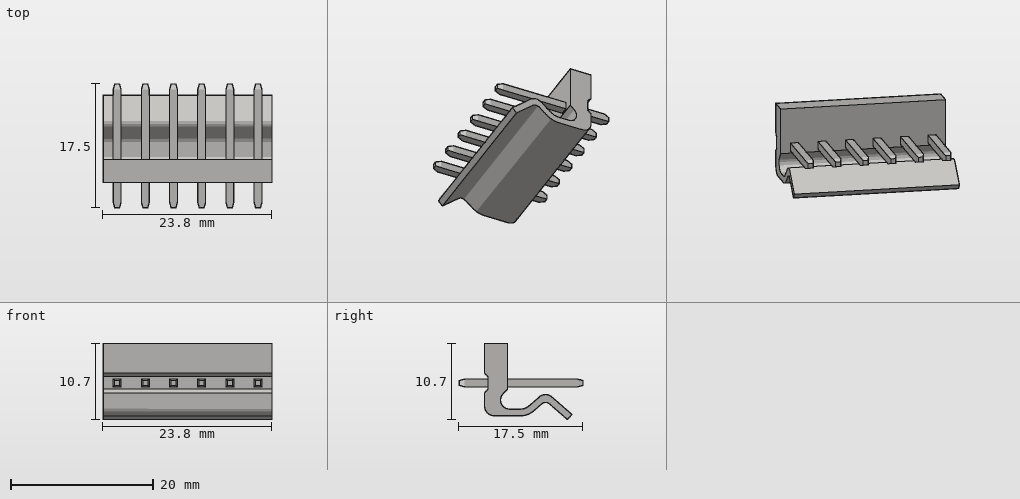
import cadquery as cq
import math

length = 23.75
pin_count = 6
pitch = length / pin_count

wall_depth = 3.25
wall_top = 10.22
heel_radius = 1.43

pin_height = 4.63
groove_depth = 0.5
groove_floor = 1.75
groove_mouth = groove_floor + 2 * groove_depth

strip_thickness = 0.97
throat_radius = 1.25
throat_centre_y = 3.55
bend_angle = 41.0
valley_centre_y = 5.05
valley_radius = 1.88
crest_radius = 1.28
crest_inner_radius = 0.8
crest_centre_y = 8.6
arm_length = 3.8

pin_width = 1.15
pin_end_width = 0.7
pin_taper_length = 0.8
pin_front = -3.56
pin_length = 17.45

bend_sin = math.sin(math.radians(bend_angle))
bend_cos = math.cos(math.radians(bend_angle))


def on_circle(centre, radius, angle):
    """Point on a circle in the YZ plane, with the angle in degrees from +Y towards +Z."""
    turn = math.radians(angle)
    return (centre[0] + radius * math.cos(turn), centre[1] + radius * math.sin(turn))


def make_profile():
    """Wall and spring strip as one closed YZ outline, extruded along X."""
    throat_centre = (throat_centre_y, strip_thickness + throat_radius)
    valley_centre = (valley_centre_y, strip_thickness + valley_radius)
    valley_outer_radius = valley_radius + strip_thickness

    bend_radii = valley_radius + crest_radius
    ramp_length = (crest_centre_y - valley_centre_y - bend_radii * bend_sin) / bend_cos
    crest_centre_z = valley_centre[1] - bend_radii * bend_cos + ramp_length * bend_sin
    crest_centre = (crest_centre_y, crest_centre_z)

    extra_radius = crest_inner_radius - (crest_radius - strip_thickness)
    crest_inner_centre = (crest_centre_y, crest_centre_z - extra_radius / bend_cos)

    valley_end = bend_angle - 90
    valley_middle = bend_angle / 2 - 90
    crest_start = 90 + bend_angle
    crest_end = 90 - bend_angle

    arm_start_upper = on_circle(crest_centre, crest_radius, crest_end)
    arm_start_lower = on_circle(crest_inner_centre, crest_inner_radius, crest_end)
    arm_run = arm_length * bend_cos
    arm_drop = arm_length * bend_sin
    tip_upper = (arm_start_upper[0] + arm_run, arm_start_upper[1] - arm_drop)
    tip_lower = (
        tip_upper[0] - strip_thickness * bend_sin,
        tip_upper[1] - strip_thickness * bend_cos,
    )

    throat_start = 135
    throat_end = 270
    throat_middle = (throat_start + throat_end) / 2
    undercut_end = on_circle(throat_centre, throat_radius, throat_start)
    undercut_start = (wall_depth, undercut_end[1] + wall_depth - undercut_end[0])

    heel_centre = (heel_radius, heel_radius)

    return (
        cq.Workplane("YZ")
        .moveTo(0, wall_top)
        .lineTo(wall_depth, wall_top)
        .lineTo(*undercut_start)
        .lineTo(*undercut_end)
        .threePointArc(
            on_circle(throat_centre, throat_radius, throat_middle),
            on_circle(throat_centre, throat_radius, throat_end),
        )
        .lineTo(valley_centre_y, strip_thickness)
        .threePointArc(
            on_circle(valley_centre, valley_radius, valley_middle),
            on_circle(valley_centre, valley_radius, valley_end),
        )
        .lineTo(*on_circle(crest_centre, crest_radius, crest_start))
        .threePointArc(on_circle(crest_centre, crest_radius, 90), arm_start_upper)
        .lineTo(*tip_upper)
        .lineTo(*tip_lower)
        .lineTo(*arm_start_lower)
        .threePointArc(
            on_circle(crest_inner_centre, crest_inner_radius, 90),
            on_circle(crest_inner_centre, crest_inner_radius, crest_start),
        )
        .lineTo(*on_circle(valley_centre, valley_outer_radius, valley_end))
        .threePointArc(
            on_circle(valley_centre, valley_outer_radius, valley_middle),
            (valley_centre_y, 0),
        )
        .lineTo(heel_radius, 0)
        .threePointArc(on_circle(heel_centre, heel_radius, 225), (0, heel_radius))
        .lineTo(0, pin_height - groove_mouth / 2)
        .lineTo(groove_depth, pin_height - groove_floor / 2)
        .lineTo(groove_depth, pin_height + groove_floor / 2)
        .lineTo(0, pin_height + groove_mouth / 2)
        .close()
        .extrude(length / 2, both=True)
    )


def make_pin(x):
    """Square pin along Y, lofted down to a smaller square at both ends."""

    def square_section(y, width):
        plane = cq.Plane(origin=(x, y, pin_height), xDir=(1, 0, 0), normal=(0, 1, 0))
        return cq.Workplane(plane).rect(width, width).wires().val()

    pin_back = pin_front + pin_length
    sections = [
        square_section(pin_front, pin_end_width),
        square_section(pin_front + pin_taper_length, pin_width),
        square_section(pin_back - pin_taper_length, pin_width),
        square_section(pin_back, pin_end_width),
    ]
    return cq.Workplane(obj=cq.Solid.makeLoft(sections, True))


result = make_profile()
for index in range(pin_count):
    pin_x = (index - (pin_count - 1) / 2) * pitch
    result = result.union(make_pin(pin_x))